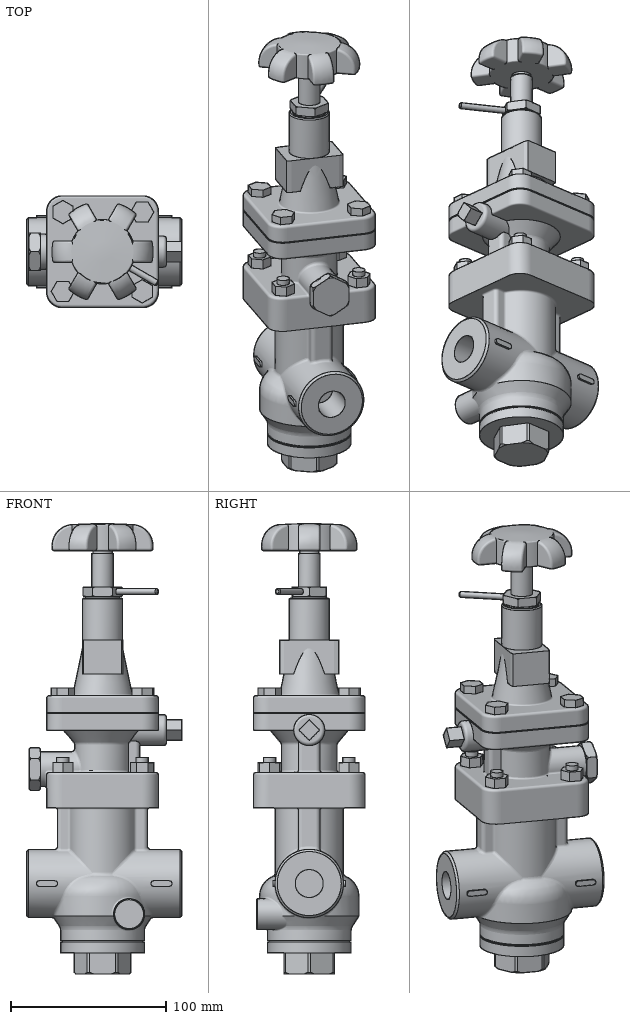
import cadquery as cq
import math


EDGE_SEARCH = 0.2
TOUCH_LIMIT = 0.001

PIPE_LENGTH = 100.0
PIPE_CENTER_X = 1.1
PIPE_DIAMETER = 44.0
PIPE_BORE = 18.0
PIPE_AXIS_Z = 58.3
PIPE_END_CHAMFER = 1.4
MARK_LENGTH = 13.5
MARK_WIDTH = 3.6
MARK_HEIGHT = 1.3
MARK_OFFSET = 36.8

BODY_DIAMETER = 64.0
NECK_DIAMETER = 44.0
COLLAR_DIAMETER = 54.0
CAP_BASE_Z = 13.7
CAP_TOP_Z = 20.6
GROOVE_HEIGHT = 1.0
GROOVE_DEPTH = 1.0
COLLAR_TOP_Z = 29.6
COLLAR_FILLET = 5.0
BODY_BASE_Z = 37.3
BODY_TOP_Z = 50.0
DOME_RADIUS = 14.0
NECK_FILLET = 2.5
CASTING_FILLET = 2.0
HEX_PLUG_FLATS = 32.5
HEX_PLUG_TURNED_DIAMETER = 36.5
HEX_PLUG_CHAMFER = 1.2
SIDE_LUG_DIAMETER = 20.0
SIDE_LUG_X = 17.1
SIDE_LUG_Z = 38.6
SIDE_LUG_REACH = 34.0
SIDE_LUG_CHAMFER = 0.7
SIDE_LUG_FILLET = 1.0
WEB_WIDTH = 14.0
WEB_REACH = 29.0
WEB_EDGE_RADIUS = 2.6
SEAT_FILLET = 1.2

FLANGE_SIZE = 72.0
FLANGE_CORNER_RADIUS = 10.0
FLANGE_EDGE_RADIUS = 1.8
FLANGE_UNDERSIDE_RADIUS = 1.0
LOWER_FLANGE_BASE_Z = 106.9
LOWER_FLANGE_TOP_Z = 129.8
UPPER_FLANGE_BASE_Z = 156.6
UPPER_FLANGE_TOP_Z = 179.2
JOINT_Z = 168.0
JOINT_GAP = 0.6
JOINT_DEPTH = 0.3
BOLT_OFFSET = 25.5
BOLT_FLATS = 13.0
BOLT_HEAD_HEIGHT = 5.0
HEX_HALF_STEP = 30.0
NUT_HEIGHT = 6.3
STUD_DIAMETER = 8.0
STUD_HEIGHT = 9.6

PILOT_DIAMETER = 36.0
FLARE_DIAMETER = 50.0
FLARE_BASE_Z = 148.4
FLARE_FILLET = 2.0
INLET_DIAMETER = 22.6
INLET_FILLET = 2.0
INLET_AXIS_Z = 131.9
INLET_HEAD_FLATS = 24.0
INLET_HEAD_X = -47.2
INLET_HEAD_THICKNESS = 7.2
INLET_HEAD_CHAMFER = 1.0
OUTLET_DIAMETER = 20.0
OUTLET_AXIS_Z = 157.0
OUTLET_REACH = 41.2
OUTLET_EDGE_RADIUS = 2.0
SQUARE_PLUG_DIAGONAL = 13.3
PILOT_WEB_REACH = 24.0

BONNET_BASE_DIAMETER = 38.6
BONNET_CONE_TOP_Z = 209.4
HOUSING_CHAMFER = 0.8
HOUSING_DIAMETER = 25.99
HOUSING_TOP_Z = 242.0
BLOCK_WIDTH = 26.0
BLOCK_DEPTH = 38.0
BLOCK_BASE_Z = 193.0
BLOCK_TOP_Z = 214.8
BLOCK_BEVEL_X = 0.7
BLOCK_BEVEL_Y = 3.0
LOCK_NUT_FLATS = 22.0
LOCK_NUT_BASE_Z = 243.0
LOCK_NUT_TOP_Z = 249.0
LOCK_NUT_CHAMFER = 0.6
LOCK_NUT_COLLAR_DIAMETER = 22.0
LEVER_DIAMETER = 4.0
LEVER_LENGTH = 41.0
LEVER_ANGLE = -30.0
LEVER_Z = 246.1
LEVER_TIP_CHAMFER = 0.8
SPINDLE_DIAMETER = 14.0
SPINDLE_TOP_DIAMETER = 12.5
SPINDLE_SHOULDER_Z = 270.5

WHEEL_BASE_Z = 272.3
WHEEL_TOP_Z = 290.0
WHEEL_DIAMETER = 65.0
WHEEL_RIM_HEIGHT = 1.8
WHEEL_FLAT_DIAMETER = 40.0
WHEEL_CROWN = 0.8
WHEEL_HUB_DIAMETER = 41.5
LOBE_COUNT = 6
LOBE_WIDTH = 14.0
LOBE_ROOT = 19.4
LOBE_EDGE_RADIUS = 1.5
HUB_EDGE_RADIUS = 0.8


def cylinder(diameter, base_z, top_z):
    """Upright cylinder on the spindle axis."""
    return cq.Workplane("XY").workplane(offset=base_z).circle(diameter / 2).extrude(top_z - base_z)


def cylinder_along_x(diameter, start_x, end_x, axis_z):
    """Horizontal cylinder along X, centred on Y = 0."""
    plane = cq.Workplane("YZ", origin=(start_x, 0, axis_z))
    return plane.circle(diameter / 2).extrude(end_x - start_x)


def across_corners(flats):
    """Corner-to-corner size of a hexagon with the given size across flats."""
    return flats / math.cos(math.pi / 6)


def hexagon(flats, base_z, top_z, center=(0, 0), turn=0.0):
    """Upright hexagonal prism; with turn = 0 two corners lie along X."""
    prism = cq.Workplane("XY").polygon(6, across_corners(flats)).extrude(top_z - base_z)
    prism = prism.rotate((0, 0, 0), (0, 0, 1), turn)
    return prism.translate((center[0], center[1], base_z))


def circle_at(radius, z):
    """Selector for a circular edge of the given radius around the spindle axis."""
    reach = radius + EDGE_SEARCH
    return cq.selectors.BoxSelector(
        (-reach, -reach, z - EDGE_SEARCH), (reach, reach, z + EDGE_SEARCH), boundingbox=True
    )


def join(radius, *pieces):
    """Unite the pieces and round every edge where two of them meet."""
    united = pieces[0]
    for piece in pieces[1:]:
        united = united.union(piece)
    seams = []
    for edge in united.edges().vals():
        middle = cq.Vertex.makeVertex(*edge.positionAt(0.5).toTuple())
        touching = [piece for piece in pieces if piece.val().distance(middle) < TOUCH_LIMIT]
        if len(touching) > 1:
            seams.append(edge)
    return united.newObject(seams).fillet(radius)


def web(side, reach, base_z, top_z):
    """Upright web from the axis to the given reach, with rounded outer edges."""
    length = reach * side
    block = cq.Workplane("XY").box(reach, WEB_WIDTH, top_z - base_z, centered=(True, True, False))
    block = block.translate((length / 2, 0, base_z))
    outer_edges = "|Z and >X" if side > 0 else "|Z and <X"
    return block.edges(outer_edges).fillet(WEB_EDGE_RADIUS)


def make_body():
    """Turned valve body: collar, belly, dome and neck."""
    body_r = BODY_DIAMETER / 2
    collar_r = COLLAR_DIAMETER / 2
    neck_r = NECK_DIAMETER / 2
    arc_center_r = body_r - DOME_RADIUS
    dome_rise = math.sqrt(DOME_RADIUS**2 - (neck_r - arc_center_r) ** 2)
    mid_angle = math.atan2(dome_rise, neck_r - arc_center_r) / 2
    arc_mid = (
        arc_center_r + DOME_RADIUS * math.cos(mid_angle),
        BODY_TOP_Z + DOME_RADIUS * math.sin(mid_angle),
    )
    groove_top_z = CAP_TOP_Z + GROOVE_HEIGHT
    profile = (
        cq.Workplane("XZ")
        .moveTo(0, CAP_BASE_Z)
        .lineTo(collar_r, CAP_BASE_Z)
        .lineTo(collar_r, CAP_TOP_Z)
        .lineTo(collar_r - GROOVE_DEPTH, CAP_TOP_Z)
        .lineTo(collar_r - GROOVE_DEPTH, groove_top_z)
        .lineTo(collar_r, groove_top_z)
        .lineTo(collar_r, COLLAR_TOP_Z)
        .lineTo(body_r, BODY_BASE_Z)
        .lineTo(body_r, BODY_TOP_Z)
        .threePointArc(arc_mid, (neck_r, BODY_TOP_Z + dome_rise))
        .lineTo(neck_r, LOWER_FLANGE_BASE_Z)
        .lineTo(0, LOWER_FLANGE_BASE_Z)
        .close()
    )
    body = profile.revolve(360, (0, 0, 0), (0, 1, 0))
    neck_root_z = BODY_TOP_Z + dome_rise
    body = body.edges(circle_at(neck_r, neck_root_z)).fillet(NECK_FILLET)
    return body.edges(circle_at(collar_r, COLLAR_TOP_Z)).fillet(COLLAR_FILLET)


def make_pipe():
    """Solid pipe run with chamfered ends."""
    start_x = PIPE_CENTER_X - PIPE_LENGTH / 2
    pipe = cylinder_along_x(PIPE_DIAMETER, start_x, start_x + PIPE_LENGTH, PIPE_AXIS_Z)
    return pipe.faces("<X or >X").chamfer(PIPE_END_CHAMFER)


def make_pipe_marks():
    """Four raised round-ended bars on the front and back of the pipe."""
    across = PIPE_DIAMETER + 2 * MARK_HEIGHT
    centers = [(PIPE_CENTER_X - MARK_OFFSET, 0), (PIPE_CENTER_X + MARK_OFFSET, 0)]
    plane = cq.Workplane("XZ", origin=(0, across / 2, PIPE_AXIS_Z))
    return plane.pushPoints(centers).slot2D(MARK_LENGTH, MARK_WIDTH).extrude(across)


def make_pipe_bores():
    """Blind bores from both pipe ends, stopping at the neck diameter."""
    start_x = PIPE_CENTER_X - PIPE_LENGTH / 2
    stop_x = NECK_DIAMETER / 2
    left = cylinder_along_x(PIPE_BORE, start_x, -stop_x, PIPE_AXIS_Z)
    right = cylinder_along_x(PIPE_BORE, stop_x, start_x + PIPE_LENGTH, PIPE_AXIS_Z)
    return left.union(right)


def make_drain_plug():
    """Hexagonal plug under the cap, turned down at its bottom corners."""
    trim = cylinder(HEX_PLUG_TURNED_DIAMETER, 0, CAP_BASE_Z).faces("<Z").chamfer(HEX_PLUG_CHAMFER)
    return hexagon(HEX_PLUG_FLATS, 0, CAP_BASE_Z).intersect(trim)


def make_side_lug():
    """Round lug on the -Y side of the belly."""
    plane = cq.Workplane("XZ", origin=(SIDE_LUG_X, 0, SIDE_LUG_Z))
    lug = plane.circle(SIDE_LUG_DIAMETER / 2).extrude(SIDE_LUG_REACH)
    return lug.faces("<Y").chamfer(SIDE_LUG_CHAMFER)


def make_flange(base_z, top_z, underside_radius=0.0):
    """Square flange with rounded corners and a rounded top edge, optionally also below."""
    plate = cq.Workplane("XY").box(FLANGE_SIZE, FLANGE_SIZE, top_z - base_z, centered=(True, True, False))
    plate = plate.edges("|Z").fillet(FLANGE_CORNER_RADIUS)
    plate = plate.faces(">Z").edges().fillet(FLANGE_EDGE_RADIUS)
    if underside_radius > 0:
        plate = plate.faces("<Z").edges().fillet(underside_radius)
    return plate.translate((0, 0, base_z))


def make_flange_joint():
    """Shallow ring around the upper flange where its two halves meet."""
    inner_size = FLANGE_SIZE - 2 * JOINT_DEPTH
    outer_size = 2 * FLANGE_SIZE
    outer = cq.Workplane("XY").box(outer_size, outer_size, JOINT_GAP)
    inner = cq.Workplane("XY").box(inner_size, inner_size, JOINT_GAP)
    inner = inner.edges("|Z").fillet(FLANGE_CORNER_RADIUS - JOINT_DEPTH)
    return outer.cut(inner).translate((0, 0, JOINT_Z))


def make_fasteners():
    """Nuts with studs on the lower flange and bolt heads on the upper one."""
    fasteners = cq.Workplane("XY")
    for side_x in (-1, 1):
        for side_y in (-1, 1):
            nut_turn = HEX_HALF_STEP if side_x < 0 and side_y < 0 else 0.0
            head_turn = HEX_HALF_STEP if side_x != side_y else 0.0
            center = (side_x * BOLT_OFFSET, side_y * BOLT_OFFSET)
            nut_top_z = LOWER_FLANGE_TOP_Z + NUT_HEIGHT
            nut = hexagon(BOLT_FLATS, LOWER_FLANGE_TOP_Z, nut_top_z, center, nut_turn)
            stud = cylinder(STUD_DIAMETER, LOWER_FLANGE_TOP_Z, LOWER_FLANGE_TOP_Z + STUD_HEIGHT)
            stud = stud.translate((center[0], center[1], 0))
            head_top_z = UPPER_FLANGE_TOP_Z + BOLT_HEAD_HEIGHT
            head = hexagon(BOLT_FLATS, UPPER_FLANGE_TOP_Z, head_top_z, center, head_turn)
            fasteners = fasteners.add(nut.union(stud)).add(head)
    return fasteners.combine()


def make_pilot():
    """Neck between the flanges, flaring out under the upper flange."""
    profile = (
        cq.Workplane("XZ")
        .moveTo(0, LOWER_FLANGE_TOP_Z)
        .lineTo(PILOT_DIAMETER / 2, LOWER_FLANGE_TOP_Z)
        .lineTo(PILOT_DIAMETER / 2, FLARE_BASE_Z)
        .lineTo(FLARE_DIAMETER / 2, UPPER_FLANGE_BASE_Z)
        .lineTo(0, UPPER_FLANGE_BASE_Z)
        .close()
    )
    pilot = profile.revolve(360, (0, 0, 0), (0, 1, 0))
    return pilot.edges(circle_at(PILOT_DIAMETER / 2, FLARE_BASE_Z)).fillet(FLARE_FILLET)


def make_inlet():
    """Pilot screen holder on the -X side with a hexagonal head."""
    stem = cylinder_along_x(INLET_DIAMETER, INLET_HEAD_X, 0, INLET_AXIS_Z)
    corners = across_corners(INLET_HEAD_FLATS)
    inner_x = INLET_HEAD_X + INLET_HEAD_THICKNESS
    head = cq.Workplane("YZ", origin=(INLET_HEAD_X, 0, INLET_AXIS_Z))
    head = head.transformed(rotate=(0, 0, 90)).polygon(6, corners).extrude(INLET_HEAD_THICKNESS)
    trim = cylinder_along_x(corners, INLET_HEAD_X, inner_x, INLET_AXIS_Z)
    trim = trim.faces("<X or >X").chamfer(INLET_HEAD_CHAMFER)
    return stem.union(head.intersect(trim))


def make_outlet():
    """Boss on the +X side of the upper flange, closed by a square plug."""
    boss = cylinder_along_x(OUTLET_DIAMETER, 0, OUTLET_REACH, OUTLET_AXIS_Z)
    boss = boss.faces(">X").edges().fillet(OUTLET_EDGE_RADIUS)
    plug_end_x = PIPE_CENTER_X + PIPE_LENGTH / 2
    plug = cq.Workplane("YZ", origin=(OUTLET_REACH, 0, OUTLET_AXIS_Z))
    plug = plug.polygon(4, SQUARE_PLUG_DIAGONAL).extrude(plug_end_x - OUTLET_REACH)
    return boss.union(plug)


def make_bonnet():
    """Conical bonnet and spring housing with a two-flat wrench block."""
    base_r = BONNET_BASE_DIAMETER / 2
    housing_r = HOUSING_DIAMETER / 2
    profile = (
        cq.Workplane("XZ")
        .moveTo(0, UPPER_FLANGE_TOP_Z)
        .lineTo(base_r, UPPER_FLANGE_TOP_Z)
        .lineTo(housing_r, BONNET_CONE_TOP_Z)
        .lineTo(housing_r, HOUSING_TOP_Z)
        .lineTo(0, HOUSING_TOP_Z)
        .close()
    )
    turned = profile.revolve(360, (0, 0, 0), (0, 1, 0)).faces(">Z").chamfer(HOUSING_CHAMFER)
    half_width = BLOCK_WIDTH / 2
    half_depth = BLOCK_DEPTH / 2
    corner = [
        (half_width, half_depth - BLOCK_BEVEL_Y),
        (half_width - BLOCK_BEVEL_X, half_depth),
    ]
    back = corner + [(-x, y) for x, y in reversed(corner)]
    front = [(-x, -y) for x, y in back]
    block = cq.Workplane("XY", origin=(0, 0, BLOCK_BASE_Z))
    block = block.polyline(back + front).close().extrude(BLOCK_TOP_Z - BLOCK_BASE_Z)
    return turned.union(block)


def make_spindle():
    """Spindle with its lock nut and the locking lever."""
    spindle = cylinder(SPINDLE_DIAMETER, HOUSING_TOP_Z, SPINDLE_SHOULDER_Z)
    top = cylinder(SPINDLE_TOP_DIAMETER, SPINDLE_SHOULDER_Z, WHEEL_BASE_Z)
    collar = cylinder(LOCK_NUT_COLLAR_DIAMETER, HOUSING_TOP_Z, LOCK_NUT_BASE_Z)
    corners = across_corners(LOCK_NUT_FLATS)
    trim = cylinder(corners, LOCK_NUT_BASE_Z, LOCK_NUT_TOP_Z).faces("<Z or >Z").chamfer(LOCK_NUT_CHAMFER)
    nut = hexagon(LOCK_NUT_FLATS, LOCK_NUT_BASE_Z, LOCK_NUT_TOP_Z).intersect(trim)
    lever = cylinder_along_x(LEVER_DIAMETER, 0, LEVER_LENGTH, LEVER_Z)
    lever = lever.faces(">X").chamfer(LEVER_TIP_CHAMFER)
    lever = lever.rotate((0, 0, 0), (0, 0, 1), LEVER_ANGLE)
    return spindle.union(top).union(collar).union(nut).union(lever)


def make_handwheel():
    """Domed handwheel: a round hub with radial lobes under one turned outline."""
    wheel_r = WHEEL_DIAMETER / 2
    flat_r = WHEEL_FLAT_DIAMETER / 2
    rim_z = WHEEL_BASE_Z + WHEEL_RIM_HEIGHT
    shoulder_z = WHEEL_TOP_Z - WHEEL_CROWN
    width = wheel_r - flat_r
    rise = shoulder_z - rim_z
    arc_mid = (flat_r + width * math.sqrt(0.5), rim_z + rise * math.sqrt(0.5))
    outline = (
        cq.Workplane("XZ")
        .moveTo(0, WHEEL_BASE_Z)
        .lineTo(wheel_r, WHEEL_BASE_Z)
        .lineTo(wheel_r, rim_z)
        .threePointArc(arc_mid, (flat_r, shoulder_z))
        .lineTo(0, WHEEL_TOP_Z)
        .close()
        .revolve(360, (0, 0, 0), (0, 1, 0))
    )
    wheel = outline.intersect(cylinder(WHEEL_HUB_DIAMETER, WHEEL_BASE_Z, WHEEL_TOP_Z))
    wheel = wheel.edges(cq.selectors.RadiusNthSelector(-1)).fillet(HUB_EDGE_RADIUS)
    height = WHEEL_TOP_Z - WHEEL_BASE_Z
    bar = cq.Workplane("XY").box(WHEEL_DIAMETER, LOBE_WIDTH, height, centered=(False, True, False))
    bar = bar.translate((LOBE_ROOT, 0, WHEEL_BASE_Z))
    lobe = outline.intersect(bar)
    lobe = lobe.edges("not(<X)").edges("not(<X)").fillet(LOBE_EDGE_RADIUS)
    for index in range(LOBE_COUNT):
        turn = index * 360.0 / LOBE_COUNT
        wheel = wheel.union(lobe.rotate((0, 0, 0), (0, 0, 1), turn))
    return wheel


casting = join(
    CASTING_FILLET,
    make_body(),
    make_pipe(),
    web(-1, WEB_REACH, PIPE_AXIS_Z, LOWER_FLANGE_BASE_Z),
    web(1, WEB_REACH, PIPE_AXIS_Z, LOWER_FLANGE_BASE_Z),
)
casting = join(SIDE_LUG_FILLET, casting, make_side_lug())

pilot = join(INLET_FILLET, make_pilot(), make_inlet())
pilot = pilot.union(web(1, PILOT_WEB_REACH, LOWER_FLANGE_TOP_Z, OUTLET_AXIS_Z)).union(make_outlet())
lower_flange = join(SEAT_FILLET, make_flange(LOWER_FLANGE_BASE_Z, LOWER_FLANGE_TOP_Z), pilot)

upper_flange = make_flange(UPPER_FLANGE_BASE_Z, UPPER_FLANGE_TOP_Z, FLANGE_UNDERSIDE_RADIUS)
upper_flange = upper_flange.cut(make_flange_joint())
bonnet = join(SEAT_FILLET, upper_flange, make_bonnet())

result = join(SEAT_FILLET, casting, lower_flange)
result = result.union(make_pipe_marks()).union(make_drain_plug()).cut(make_pipe_bores())
result = result.union(bonnet).union(make_fasteners())
result = result.union(make_spindle()).union(make_handwheel())